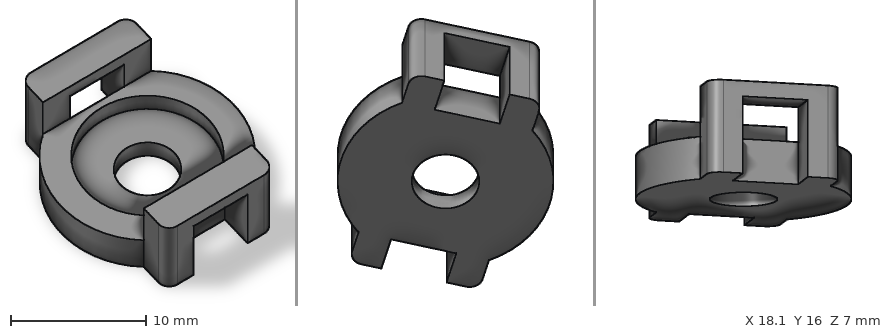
import cadquery as cq

length = 18.09
height = 7.0
disc_diameter = 16.0
disc_height = 3.2
recess_diameter = 11.3
recess_depth = 1.6
hole_diameter = 5.0
post_thickness = 2.8
post_width = 10.0
corner_radius = 1.0
slot_width = 5.0
bridge_height = 1.18

inner_span = length - 2 * post_thickness


def make_base():
    """Disc with two flat sides, a round recess and a through hole."""
    disc = cq.Workplane("XY").circle(disc_diameter / 2).extrude(disc_height)
    trim = cq.Workplane("XY").rect(inner_span, disc_diameter).extrude(disc_height)
    return (
        disc.intersect(trim)
        .faces(">Z")
        .workplane(origin=(0, 0, disc_height))
        .cboreHole(hole_diameter, recess_diameter, recess_depth)
    )


def make_post(side):
    """Upright arch on one side (+1 or -1), open at the bottom, with rounded outer corners."""
    center_x = side * (inner_span + post_thickness) / 2
    outer_edges = "|Z and >X" if side > 0 else "|Z and <X"
    block = (
        cq.Workplane("XY")
        .center(center_x, 0)
        .rect(post_thickness, post_width)
        .extrude(height)
        .edges(outer_edges)
        .fillet(corner_radius)
    )
    slot = (
        cq.Workplane("XY")
        .center(center_x, 0)
        .rect(post_thickness, slot_width)
        .extrude(height - bridge_height)
    )
    return block.cut(slot)


result = make_base()
for side in (-1, 1):
    result = result.union(make_post(side))